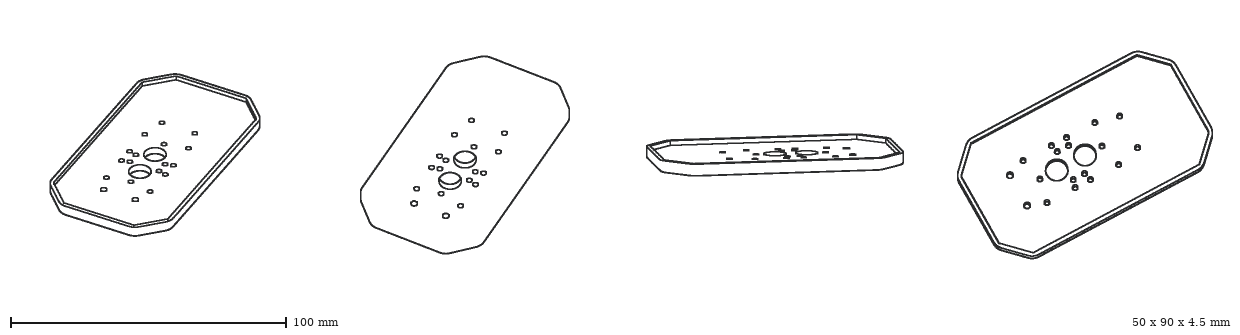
import cadquery as cq
import math

length = 90.0
width = 50.0
height = 4.5
corner_cut = 10.0
corner_radius = 5.0
bottom_edge_radius = 1.0

wall = 1.5
floor_thickness = 2.8

bore_diameter = 8.1
bore_pitch = 11.7
pattern_center_y = -bore_pitch / 2

small_diameter = 2.0
outer_column_x = 9.0
outer_row_near = 3.15
outer_row_far = 14.85
inner_column_x = 6.0
inner_row = 2.3
centreline_row = 12.9

rear_pair_x = 6.75
rear_pair_y = 18.1
front_pair_x = 6.5
front_pair_y = -27.5
front_pair_diameter = 2.3


def cut_corner_prism(inset, base_z, top_z):
    """Rectangular prism with 45-degree cut corners and every side moved inwards by inset."""
    cut = corner_cut - inset * (2 - math.sqrt(2))
    return (
        cq.Workplane("XY", origin=(0, 0, base_z))
        .rect(width - 2 * inset, length - 2 * inset)
        .extrude(top_z - base_z)
        .edges("|Z")
        .chamfer(cut)
    )


def through_holes(points, diameter):
    return cq.Workplane("XY").pushPoints(points).circle(diameter / 2).extrude(height)


def mirrored_pair(x, y):
    return [(-x, y), (x, y)]


body = cut_corner_prism(0, 0, height).edges("|Z").fillet(corner_radius)
body = body.faces("<Z").edges().fillet(bottom_edge_radius)
body = body.cut(cut_corner_prism(wall, floor_thickness, height))

bore_points = [(0, 0), (0, -bore_pitch)]

small_points = mirrored_pair(rear_pair_x, rear_pair_y)
for side in (1, -1):
    small_points += mirrored_pair(outer_column_x, pattern_center_y + side * outer_row_near)
    small_points += mirrored_pair(outer_column_x, pattern_center_y + side * outer_row_far)
    small_points += mirrored_pair(inner_column_x, pattern_center_y + side * inner_row)
    small_points.append((0, pattern_center_y + side * centreline_row))

body = body.cut(through_holes(bore_points, bore_diameter))
body = body.cut(through_holes(small_points, small_diameter))
front_points = mirrored_pair(front_pair_x, front_pair_y)
body = body.cut(through_holes(front_points, front_pair_diameter))

result = body